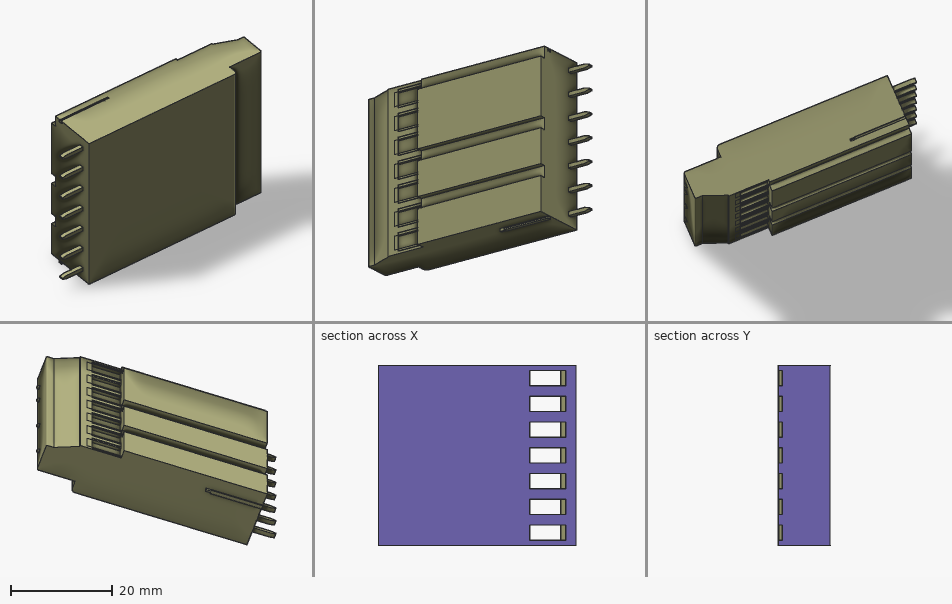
import cadquery as cq

POLES = 7
PITCH = 5.1
WIDTH = 12.2
LENGTH = 50.3
HEIGHT = POLES * PITCH

PIN_LENGTH = 5.05
FRONT_Y = PIN_LENGTH
BUMP_HEIGHT = 0.5
NOSE_Y = LENGTH - BUMP_HEIGHT
LEDGE_Y = 34.95
SHOULDER_Y = 41.8
NECK_X = 1.75
NECK_END_Y = 43.45
NOSE_LEFT_X = 3.85
NOSE_RIGHT_X = 9.75
SLOPE_START_X = 2.0
SLOPE_START_Y = 43.6
SLOPE_END_Y = 48.3
SHOULDER_RADIUS = 0.8
NOSE_RADIUS = 0.4
NOSE_LEFT_RADIUS = 0.25

GROOVE_DEPTH = 1.25
GROOVE_HEIGHT = PITCH / 2
GROOVE_TOP_POLES = (2, 4, 7)

POCKET_LENGTH = 6.05
POCKET_HEIGHT = 3.85
POCKET_STEP = 0.45
OUTER_POCKET_DEPTH = 0.15
INNER_POCKET_DEPTH = 0.75
POCKET_UNDERCUT = 1.0

PIN_X = 9.75
PIN_WIDTH = 0.95
PIN_THICKNESS = 0.85
PIN_TIP_THICKNESS = 0.3
PIN_TIP_LENGTH = 1.05

BUMP_X = 8.35
BUMP_HALF_SPAN = 0.55
BUMP_POLES = (1, 3, 5, 6)

RIB_X = 2.9
RIB_DEPTH = 0.6
RIB_NECK_WIDTH = 0.4
RIB_WIDTH = 0.8
RIB_END_Y = 16.9
DOVETAIL_END_Y = 15.85


def box(x0, x1, y0, y1, z0, z1):
    """Axis-aligned block between the given limits."""
    return cq.Workplane("XY").box(x1 - x0, y1 - y0, z1 - z0, centered=False).translate((x0, y0, z0))


def housing():
    """Extruded outline with rounded nose and shoulder corners."""
    outline = [
        (0, FRONT_Y),
        (WIDTH, FRONT_Y),
        (WIDTH, SHOULDER_Y),
        (NOSE_RIGHT_X, SHOULDER_Y),
        (NOSE_RIGHT_X, NOSE_Y),
        (NOSE_LEFT_X, NOSE_Y),
        (NOSE_LEFT_X, SLOPE_END_Y),
        (SLOPE_START_X, SLOPE_START_Y),
        (NECK_X, NECK_END_Y),
        (NECK_X, LEDGE_Y),
        (0, LEDGE_Y),
    ]
    body = cq.Workplane("XY").polyline(outline).close().extrude(HEIGHT)
    rounded_corners = [
        (WIDTH, SHOULDER_Y, SHOULDER_RADIUS),
        (NOSE_RIGHT_X, NOSE_Y, NOSE_RADIUS),
        (NOSE_LEFT_X, NOSE_Y, NOSE_LEFT_RADIUS),
    ]
    for x, y, radius in rounded_corners:
        corner = cq.selectors.NearestToPointSelector((x, y, HEIGHT / 2))
        body = body.edges("|Z").edges(corner).fillet(radius)
    return body


def side_groove(top_pole):
    """Groove along the left face, ending at the ledge."""
    top = top_pole * PITCH
    return box(0, GROOVE_DEPTH, FRONT_Y, LEDGE_Y, top - GROOVE_HEIGHT, top)


def pocket(center_z):
    """Shallow pocket with a deeper channel along its middle that runs on under the neck face."""
    half_outer = POCKET_HEIGHT / 2
    half_inner = half_outer - POCKET_STEP
    end_y = LEDGE_Y + POCKET_LENGTH
    outer = box(NECK_X, NECK_X + OUTER_POCKET_DEPTH, LEDGE_Y, end_y,
                center_z - half_outer, center_z + half_outer)
    inner = box(NECK_X + OUTER_POCKET_DEPTH, NECK_X + INNER_POCKET_DEPTH, LEDGE_Y, end_y + POCKET_UNDERCUT,
                center_z - half_inner, center_z + half_inner)
    return outer.union(inner)


def pin(center_z):
    """Rectangular pin whose upper and lower faces taper at the tip."""
    half = PIN_THICKNESS / 2
    half_tip = PIN_TIP_THICKNESS / 2
    profile = [
        (FRONT_Y, -half),
        (FRONT_Y, half),
        (PIN_TIP_LENGTH, half),
        (0, half_tip),
        (0, -half_tip),
        (PIN_TIP_LENGTH, -half),
    ]
    blade = cq.Workplane("YZ").polyline(profile).close().extrude(PIN_WIDTH)
    return blade.translate((PIN_X - PIN_WIDTH / 2, 0, center_z))


def bump(center_z):
    """Two vertical cones joined at their bases, half sunk in the end of the nose."""
    half_profile = [(0, -BUMP_HALF_SPAN), (BUMP_HEIGHT, 0), (0, BUMP_HALF_SPAN)]
    double_cone = cq.Workplane("XZ").polyline(half_profile).close().revolve(360, (0, 0, 0), (0, 1, 0))
    return double_cone.translate((BUMP_X, NOSE_Y, center_z))


def dovetail(face_z):
    """Dovetail hanging below the given level, with a plain narrow inner end."""
    half_neck = RIB_NECK_WIDTH / 2
    half = RIB_WIDTH / 2
    profile = [
        (-half_neck, 0),
        (half_neck, 0),
        (half, -RIB_DEPTH / 2),
        (half, -RIB_DEPTH),
        (-half, -RIB_DEPTH),
        (-half, -RIB_DEPTH / 2),
    ]
    wide = cq.Workplane("XZ").polyline(profile).close().extrude(FRONT_Y - DOVETAIL_END_Y)
    wide = wide.translate((RIB_X, FRONT_Y, face_z))
    narrow = box(RIB_X - half_neck, RIB_X + half_neck, FRONT_Y, RIB_END_Y, face_z - RIB_DEPTH, face_z)
    return wide.union(narrow)


result = housing()

for top_pole in GROOVE_TOP_POLES:
    result = result.cut(side_groove(top_pole))

for pole in range(POLES):
    pole_z = (pole + 0.5) * PITCH
    result = result.cut(pocket(pole_z)).union(pin(pole_z))

for pole in BUMP_POLES:
    result = result.union(bump(pole * PITCH))

result = result.cut(dovetail(HEIGHT)).union(dovetail(0))